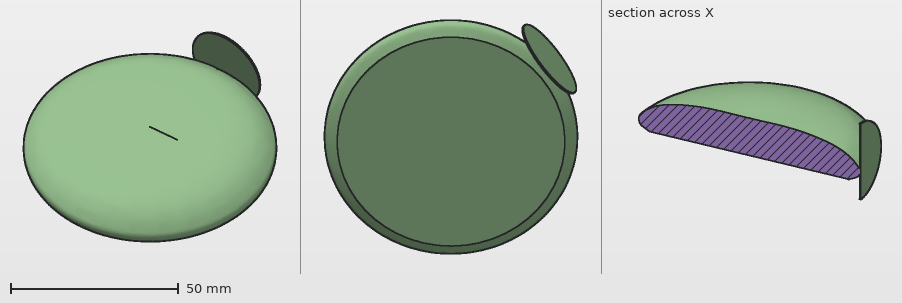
import cadquery as cq

body_radius = 37.7
top_z = 5.7
bottom_z = -6.8
equator_z = -3.3
base_flat_radius = 33.95
inner_crown_radius = 15.15
inner_crown_z = 5.6
crown_radius = 25.45
crown_z = 4.25
shoulder_radius = 33.5
shoulder_z = 1.4
rim_radius = 36.6
rim_z = -1.05

plate_diameter = 25.0
plate_thickness = 0.5
overall_depth = 75.8
plate_back_y = overall_depth - body_radius


def make_body():
    outline_points = [
        (0, top_z),
        (inner_crown_radius, inner_crown_z),
        (crown_radius, crown_z),
        (shoulder_radius, shoulder_z),
        (rim_radius, rim_z),
        (body_radius, equator_z),
        (base_flat_radius, bottom_z),
    ]
    outline_tangents = [(1, 0), None, None, None, None, (0, -1), (-1, -0.5)]
    profile = (
        cq.Workplane("XZ")
        .spline(outline_points, tangents=outline_tangents)
        .lineTo(0, bottom_z)
        .close()
    )
    return profile.revolve(360, (0, 0, 0), (0, 1, 0))


def make_plate():
    return (
        cq.Workplane("XZ", origin=(0, plate_back_y, 0))
        .circle(plate_diameter / 2)
        .extrude(plate_thickness)
    )


result = make_body().union(make_plate())